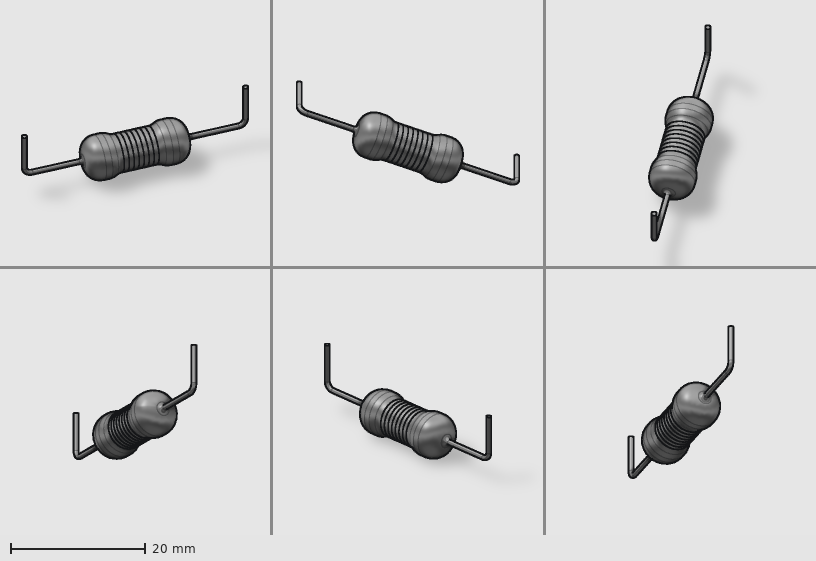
import cadquery as cq
import math


body_length = 16.5
cap_diameter = 7.0
waist_diameter = 5.95
waist_length = 5.5
cap_end_round = 2.45
cap_land_length = 1.0

band_diameter = 5.97
band_count = 4

lead_diameter = 0.8
lead_span = 35.0
lead_top = 7.1
bend_radius = 1.2

half_length = body_length / 2
half_waist = waist_length / 2
half_span = lead_span / 2
cap_radius = cap_diameter / 2
waist_radius = waist_diameter / 2
band_radius = band_diameter / 2
lead_radius = lead_diameter / 2
land_outer = half_length - cap_end_round
land_inner = land_outer - cap_land_length
lead_fillet = cap_radius - cap_end_round - lead_radius
lead_start = half_length + lead_fillet
band_width = waist_length / (2 * band_count - 1)

shoulder_length = land_inner - half_waist
shoulder_drop = cap_radius - waist_radius
shoulder_angle = 2 * math.atan(shoulder_drop / shoulder_length)
shoulder_radius = shoulder_length / (2 * math.sin(shoulder_angle))


def arc_point(center, radius, angle):
    """Point on a circle; the angle is measured from the first axis toward the second."""
    return (center[0] + radius * math.cos(angle), center[1] + radius * math.sin(angle))


def make_rod(radius, start, length):
    """Cylinder along the Y axis, running toward +Y from the given start."""
    return cq.Workplane("XZ", origin=(0, start, 0)).circle(radius).extrude(-length)


def make_cap():
    """The +Y cap with its shoulder toward the waist and its fillet onto the lead."""
    concave_center = (waist_radius + shoulder_radius, half_waist)
    convex_center = (cap_radius - shoulder_radius, land_inner)
    end_center = (cap_radius - cap_end_round, land_outer)
    fillet_center = (lead_radius + lead_fillet, lead_start)
    profile = (
        cq.Workplane("XY")
        .moveTo(0, half_waist)
        .lineTo(waist_radius, half_waist)
        .threePointArc(
            arc_point(concave_center, shoulder_radius, math.pi - shoulder_angle / 2),
            arc_point(concave_center, shoulder_radius, math.pi - shoulder_angle),
        )
        .threePointArc(
            arc_point(convex_center, shoulder_radius, -shoulder_angle / 2),
            (cap_radius, land_inner),
        )
        .lineTo(cap_radius, land_outer)
        .threePointArc(
            arc_point(end_center, cap_end_round, math.pi / 4),
            (end_center[0], half_length),
        )
        .threePointArc(
            arc_point(fillet_center, lead_fillet, -3 * math.pi / 4),
            (lead_radius, lead_start),
        )
        .lineTo(0, lead_start)
        .close()
    )
    return profile.revolve(360, (0, 0, 0), (0, 1, 0))


def make_lead():
    """The +Y lead: straight out of the body, then bent up to +Z."""
    bend_start = half_span - bend_radius
    bend_middle = arc_point((bend_start, bend_radius), bend_radius, -math.pi / 4)
    path = (
        cq.Workplane("YZ")
        .moveTo(lead_start, 0)
        .lineTo(bend_start, 0)
        .threePointArc(bend_middle, (half_span, bend_radius))
        .lineTo(half_span, lead_top)
    )
    return cq.Workplane("XZ", origin=(0, lead_start, 0)).circle(lead_radius).sweep(path)


def make_waist():
    """The waist cylinder with its colour bands."""
    waist = make_rod(waist_radius, -half_waist, waist_length)
    for band_index in range(band_count):
        band_start = -half_waist + 2 * band_index * band_width
        waist = waist.union(make_rod(band_radius, band_start, band_width))
    return waist


end_part = make_cap().union(make_lead())
result = make_waist().union(end_part).union(end_part.mirror("XZ"))